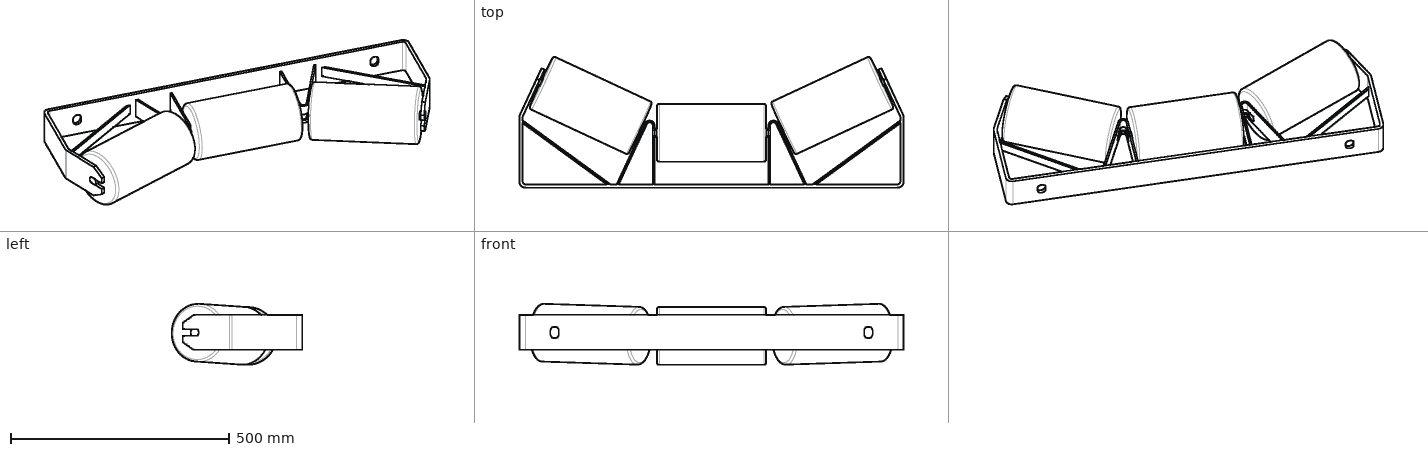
import cadquery as cq
import math


frame_length = 880.0
frame_height = 80.0
frame_thickness = 8.0
frame_bend_radius = 14.0
arm_lean = 25.0
arm_bend_y = 165.0
arm_length = 121.0
arm_tip_chamfer_along = 27.0
arm_tip_chamfer_height = 18.0
bolt_hole_x = 359.0
bolt_hole_width = 19.0
bolt_hole_height = 26.0

bracket_thickness = 4.0
bracket_height = 47.5
bracket_face_x = 130.0
bracket_bend_radius = 11.0
bracket_top_y = 154.0

brace_thickness = 5.0
brace_height = 25.0
brace_wall_y = 154.0
brace_base_x = 231.0

roller_diameter = 133.0
roller_length = 250.0
wing_roller_shift = 2.0
roller_edge_radius = 5.0
axle_diameter = 20.0
axle_flat_width = 16.0
middle_axis_y = 126.0
inner_axis_z = -8.0
wing_seat_from_tip = 30.0

lean = math.radians(arm_lean)
along_arm = cq.Vector(math.sin(lean), math.cos(lean))
into_arm = cq.Vector(math.cos(lean), -math.sin(lean))
inner_wall_x = frame_length / 2 - frame_thickness
arm_bend = cq.Vector(-frame_length / 2, arm_bend_y)
arm_tip = arm_bend + along_arm * arm_length
bend_center = cq.Vector(-bracket_face_x - bracket_bend_radius, bracket_top_y - bracket_bend_radius)
slot_cutter_thickness = 2 * bracket_bend_radius
bracket_inner_radius = bracket_bend_radius - bracket_thickness

wing_outer_end = arm_tip - along_arm * wing_seat_from_tip
wing_span = (bend_center - wing_outer_end).dot(into_arm) - bracket_inner_radius
wing_inner_end = wing_outer_end + into_arm * wing_span
wing_tilt = math.degrees(math.atan2(-inner_axis_z, wing_span))
wing_axle_length = math.hypot(wing_span, inner_axis_z)
wing_bore_length = wing_axle_length + frame_thickness
middle_axle_length = 2 * (bracket_face_x + bracket_thickness)


def both_sides(half_solid):
    """Return the -X solid and its mirror image on +X."""
    return [half_solid, half_solid.mirror("YZ")]


def flat_bar(outline, height):
    """Extrude a closed XY outline to the given height, centred on Z = 0."""
    return outline.close().extrude(height).translate((0, 0, -height / 2))


def rod_along_x(diameter, length):
    """Plain cylinder centred on the origin with its axis along X."""
    return cq.Workplane("YZ", origin=(-length / 2, 0, 0)).circle(diameter / 2).extrude(length)


def axle(length):
    """Round axle along X with two flats facing +Z and -Z."""
    rod = rod_along_x(axle_diameter, length)
    return rod.intersect(cq.Workplane().box(length, axle_diameter, axle_flat_width))


def roller(axle_length, shift):
    """Roller with rounded rims, shifted toward +X on its axle, which is centred along X."""
    shell = rod_along_x(roller_diameter, roller_length)
    return shell.edges("%CIRCLE").fillet(roller_edge_radius).translate((shift, 0, 0)).union(axle(axle_length))


def place_wing(body):
    """Move a body centred along X onto the -X wing roller's axis."""
    middle = (wing_outer_end + wing_inner_end) * 0.5
    tilted = body.rotate((0, 0, 0), (0, 1, 0), wing_tilt).rotate((0, 0, 0), (0, 0, 1), -arm_lean)
    return tilted.translate((middle.x, middle.y, inner_axis_z / 2))


def place_middle(body):
    """Move a body centred along X onto the middle roller's axis."""
    return body.translate((0, middle_axis_y, inner_axis_z))


def axle_slot(seat, seat_z, slot_lean, depth):
    """Cutter for an open slot that starts on the axle centre and runs up the leg."""
    cutter = cq.Workplane().box(slot_cutter_thickness, depth, axle_flat_width).translate((0, depth / 2, 0))
    return cutter.rotate((0, 0, 0), (0, 0, 1), -slot_lean).translate((seat.x, seat.y, seat_z))


def make_frame():
    mitre = math.tan(lean / 2)
    corner = cq.Vector(-frame_length / 2, 0)
    half_outer = [corner, arm_bend, arm_tip]
    half_inner = [
        arm_tip + into_arm * frame_thickness,
        arm_bend + cq.Vector(frame_thickness, -frame_thickness * mitre),
        corner + cq.Vector(frame_thickness, frame_thickness),
    ]
    left = [(p.x, p.y) for p in half_outer + half_inner]
    right = [(-x, y) for x, y in reversed(left)]
    frame = flat_bar(cq.Workplane().polyline(left + right), frame_height)

    inner_radius = frame_bend_radius - frame_thickness
    for outer_point, inner_point in ((corner, half_inner[2]), (arm_bend, half_inner[1])):
        for point, radius in ((outer_point, frame_bend_radius), (inner_point, inner_radius)):
            for side in (-1, 1):
                nearest = cq.selectors.NearestToPointSelector((side * point.x, point.y, 0))
                frame = frame.edges("|Z").edges(nearest).fillet(radius)

    for cutter in arm_cutters():
        for copy in both_sides(cutter):
            frame = frame.cut(copy)
    bolt_holes = (
        cq.Workplane("XZ")
        .pushPoints([(-bolt_hole_x, 0), (bolt_hole_x, 0)])
        .slot2D(bolt_hole_height, bolt_hole_width, 90)
        .extrude(-frame_thickness)
    )
    return frame.cut(bolt_holes)


def arm_cutters():
    """Cutters for the axle slot and the two chamfered tip corners of the -X arm."""
    seat = wing_outer_end + into_arm * (frame_thickness / 2)
    cutters = [axle_slot(seat, 0, arm_lean, 2 * wing_seat_from_tip), place_wing(axle(wing_bore_length))]
    arm_plane = cq.Plane(origin=arm_tip.toTuple(), xDir=along_arm.toTuple(), normal=into_arm.toTuple())
    for side in (-1, 1):
        corner_z = side * frame_height / 2
        triangle = [
            (0, corner_z),
            (-arm_tip_chamfer_along, corner_z),
            (0, corner_z - side * arm_tip_chamfer_height),
        ]
        cutters.append(cq.Workplane(arm_plane).polyline(triangle).close().extrude(frame_thickness))
    return cutters


def make_bracket():
    """-X bracket: an upright leg and a leaning leg joined by a round bend."""
    lean_angle = 180 - arm_lean
    outer = bracket_bend_radius
    inner = bracket_inner_radius

    def on_bend(radius, angle):
        turn = math.radians(angle)
        return bend_center.x + radius * math.cos(turn), bend_center.y + radius * math.sin(turn)

    def lean_foot(radius):
        x, y = on_bend(radius, lean_angle)
        return x - (y - frame_thickness) * math.tan(lean), frame_thickness

    outline = (
        cq.Workplane()
        .moveTo(bend_center.x + outer, frame_thickness)
        .lineTo(*on_bend(outer, 0))
        .threePointArc(on_bend(outer, lean_angle / 2), on_bend(outer, lean_angle))
        .lineTo(*lean_foot(outer))
        .lineTo(*lean_foot(inner))
        .lineTo(*on_bend(inner, lean_angle))
        .threePointArc(on_bend(inner, lean_angle / 2), on_bend(inner, 0))
        .lineTo(bend_center.x + inner, frame_thickness)
    )
    upright_seat = cq.Vector(-bracket_face_x, middle_axis_y)
    return (
        flat_bar(outline, bracket_height)
        .cut(axle_slot(upright_seat, inner_axis_z, 0, bracket_top_y))
        .cut(axle_slot(wing_inner_end, inner_axis_z, arm_lean, bracket_top_y))
        .cut(place_middle(axle(middle_axle_length)))
        .cut(place_wing(axle(wing_bore_length)))
    )


def make_brace():
    """-X brace: a narrow bar from the frame's side wall down to its base."""
    rise = brace_wall_y - frame_thickness
    run = inner_wall_x - brace_base_x
    length = math.hypot(rise, run)
    outline = cq.Workplane().polyline([
        (-inner_wall_x, brace_wall_y),
        (-brace_base_x, frame_thickness),
        (-brace_base_x - brace_thickness * length / rise, frame_thickness),
        (-inner_wall_x, brace_wall_y - brace_thickness * length / run),
    ])
    return flat_bar(outline, brace_height)


frame = make_frame()
brackets = both_sides(make_bracket())
braces = both_sides(make_brace())
middle_roller = place_middle(roller(middle_axle_length, 0))
wing_rollers = both_sides(place_wing(roller(wing_axle_length, wing_roller_shift)))

bodies = [frame, *brackets, *braces, middle_roller, *wing_rollers]
result = cq.Compound.makeCompound([body.val() for body in bodies])